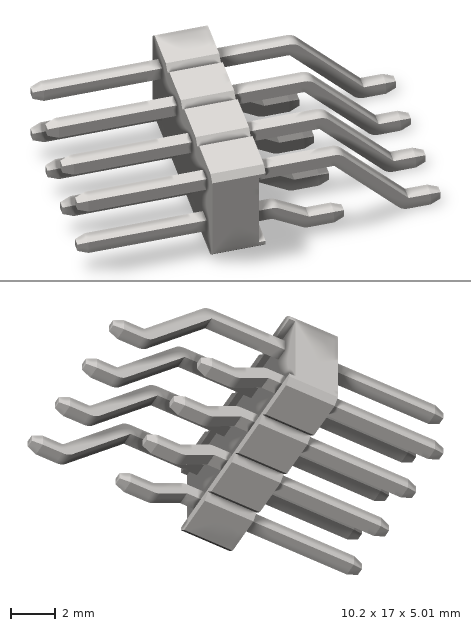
import cadquery as cq
import math

columns = 4
housing_width = 10.17
housing_depth = 2.5
housing_height = 4.96
pitch = housing_width / columns
edge_chamfer = 0.3
recess_depth = 0.3
rear_lip_height = 0.51

pin_size = 0.65
tip_size = 0.39
tip_length = 0.5
overall_length = 17.0
pin_front = -6.02
foot_bottom = -0.05
row_offset = pitch / 2

long_upper_bend = 5.97
long_lower_bend = 9.45
long_foot_end = pin_front + overall_length
short_upper_bend = 3.06
short_lower_bend = 4.8
short_foot_end = 6.46


def make_housing():
    """Octagonal cells side by side, which leave V notches between them."""
    cell = (
        cq.Workplane("XY")
        .box(pitch, housing_depth, housing_height)
        .edges("|Y")
        .chamfer(edge_chamfer)
        .translate((0, housing_depth / 2, housing_height / 2))
    )
    housing = cq.Workplane("XY")
    for x in column_positions:
        housing = housing.union(cell.translate((x, 0, 0)))
    recess = cq.Workplane("XY").box(
        housing_width, recess_depth, housing_height - 2 * rear_lip_height
    )
    return housing.cut(
        recess.translate((0, housing_depth - recess_depth / 2, housing_height / 2))
    )


def make_tip(y_base, z_center, direction):
    """Tapered pin end, narrowing along Y in the given direction (+1 or -1)."""
    plane = cq.Plane(origin=(0, y_base, z_center), xDir=(1, 0, 0), normal=(0, direction, 0))
    return (
        cq.Workplane(plane)
        .rect(pin_size, pin_size)
        .workplane(offset=tip_length)
        .rect(tip_size, tip_size)
        .loft(ruled=True)
    )


def make_pin(z_center, upper_bend, lower_bend, foot_end):
    """Pin with a sloping leg; each bend is sharp inside and round outside."""
    bar_top = z_center + pin_size / 2
    bar_bottom = z_center - pin_size / 2
    foot_top = foot_bottom + pin_size
    bar_start = pin_front + tip_length
    foot_tip_start = foot_end - tip_length

    run = lower_bend - upper_bend
    drop = bar_bottom - foot_top
    slope = math.atan2(drop, run) + math.asin(pin_size / math.hypot(run, drop))

    def arc_point(angle):
        """Offset from an inner corner to its outer arc, at an angle from vertical."""
        return pin_size * math.sin(angle), pin_size * math.cos(angle)

    mid_y, mid_z = arc_point(slope / 2)
    end_y, end_z = arc_point(slope)
    bent_bar = (
        cq.Workplane("YZ")
        .moveTo(bar_start, bar_bottom)
        .lineTo(bar_start, bar_top)
        .lineTo(upper_bend, bar_top)
        .threePointArc(
            (upper_bend + mid_y, bar_bottom + mid_z),
            (upper_bend + end_y, bar_bottom + end_z),
        )
        .lineTo(lower_bend, foot_top)
        .lineTo(foot_tip_start, foot_top)
        .lineTo(foot_tip_start, foot_bottom)
        .lineTo(lower_bend, foot_bottom)
        .threePointArc(
            (lower_bend - mid_y, foot_top - mid_z),
            (lower_bend - end_y, foot_top - end_z),
        )
        .lineTo(upper_bend, bar_bottom)
        .close()
        .extrude(pin_size / 2, both=True)
    )
    front_tip = make_tip(bar_start, z_center, -1)
    foot_tip = make_tip(foot_tip_start, foot_bottom + pin_size / 2, 1)
    return bent_bar.union(front_tip).union(foot_tip)


column_positions = [(i - (columns - 1) / 2) * pitch for i in range(columns)]
long_pin = make_pin(
    housing_height / 2 + row_offset, long_upper_bend, long_lower_bend, long_foot_end
)
short_pin = make_pin(
    housing_height / 2 - row_offset, short_upper_bend, short_lower_bend, short_foot_end
)

result = make_housing()
for x in column_positions:
    result = result.union(long_pin.translate((x, 0, 0)))
    result = result.union(short_pin.translate((x, 0, 0)))